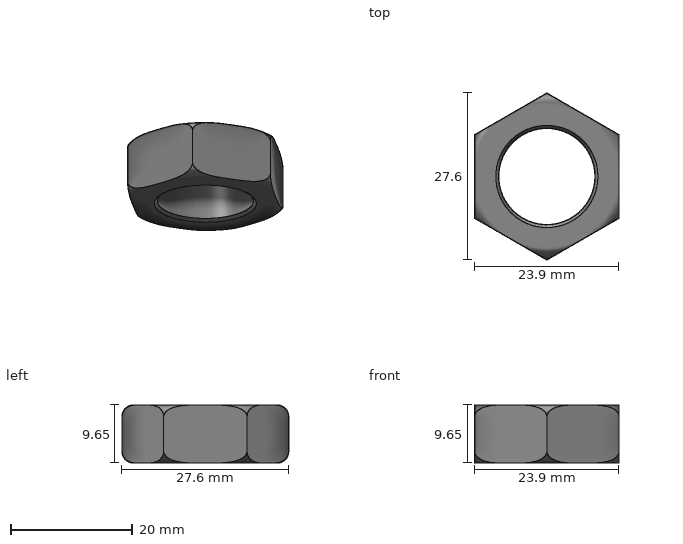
import cadquery as cq
import math

side_count = 6
across_flats = 23.88
height = 9.65
bore_diameter = 15.88
bore_chamfer = 0.5
corner_rounding = 2.0

half_side_angle = 180 / side_count
across_corners = across_flats / math.cos(math.radians(half_side_angle))


def make_hexagon():
    """Hexagonal prism with two corners on the Y axis and two flats facing X."""
    prism = cq.Workplane("XY").polygon(side_count, across_corners).extrude(height)
    return prism.rotate((0, 0, 0), (0, 0, 1), half_side_angle)


def make_rounded_blank():
    """Disc through the hexagon corners, rounded at both end faces."""
    disc = cq.Workplane("XY").circle(across_corners / 2).extrude(height)
    return disc.edges("%CIRCLE").fillet(corner_rounding)


def make_bore():
    """Through bore that widens in a 45 degree chamfer at each end face."""
    bore_radius = bore_diameter / 2
    mouth_radius = bore_radius + bore_chamfer
    return (
        cq.Workplane("XZ")
        .moveTo(0, 0)
        .lineTo(mouth_radius, 0)
        .lineTo(bore_radius, bore_chamfer)
        .lineTo(bore_radius, height - bore_chamfer)
        .lineTo(mouth_radius, height)
        .lineTo(0, height)
        .close()
        .revolve(360, (0, 0, 0), (0, 1, 0))
    )


result = make_hexagon().intersect(make_rounded_blank()).cut(make_bore())